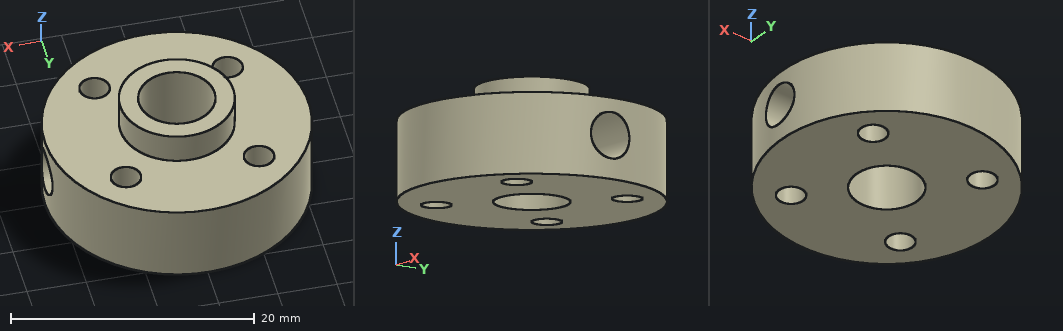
import cadquery as cq

flange_diameter = 22.225
overall_height = 9.525
boss_diameter = 9.525
boss_height = 2.667
bore_diameter = 6.35
mount_hole_diameter = 2.5
mount_hole_spacing = 11.225
set_screw_diameter = 3.9
set_screw_height = 3.68

flange_height = overall_height - boss_height


def make_body():
    """Round flange standing on Z = 0 with a concentric boss on top."""
    flange = cq.Workplane("XY").circle(flange_diameter / 2).extrude(flange_height)
    boss = (
        cq.Workplane("XY")
        .workplane(offset=flange_height)
        .circle(boss_diameter / 2)
        .extrude(boss_height)
    )
    return flange.union(boss)


def make_bore():
    """Shaft bore through the full height."""
    return cq.Workplane("XY").circle(bore_diameter / 2).extrude(overall_height)


def make_mount_holes():
    """Four through holes on a square pattern."""
    return (
        cq.Workplane("XY")
        .rect(mount_hole_spacing, mount_hole_spacing, forConstruction=True)
        .vertices()
        .circle(mount_hole_diameter / 2)
        .extrude(flange_height)
    )


def make_set_screw_hole():
    """Radial hole from the bore axis out through the +X side of the flange."""
    return (
        cq.Workplane("YZ")
        .center(0, set_screw_height)
        .circle(set_screw_diameter / 2)
        .extrude(flange_diameter / 2)
    )


result = (
    make_body()
    .cut(make_bore())
    .cut(make_mount_holes())
    .cut(make_set_screw_hole())
)